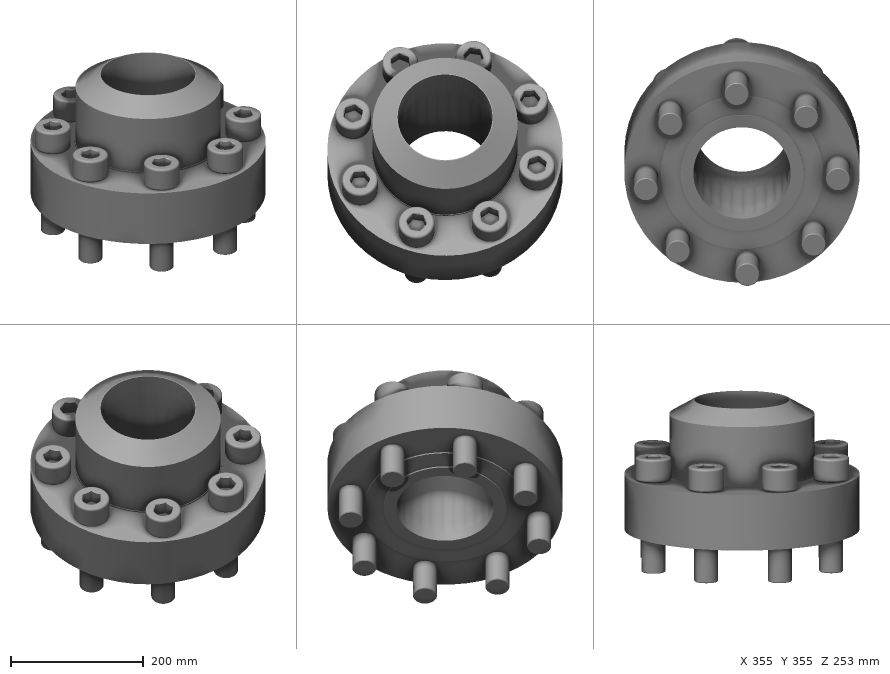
import cadquery as cq
import math

flange_diameter = 355.0
flange_thickness = 85.0

neck_diameter = 219.2
neck_top = 198.0
neck_tip_diameter = 145.5
weld_bevel_angle = 30.0
shoulder_diameter = 221.5
collar_diameter = 245.0
recess_depth = flange_thickness / 2
protrusion = 2.0
seal_diameter = 185.5
top_bore_diameter = 143.0
top_bore_depth = 55.5
bottom_bore_diameter = 147.0

bolt_count = 8
bolt_circle_diameter = 290.0
first_bolt_angle = 180 / bolt_count
shank_diameter = 36.0
shank_reach = 55.0
tip_chamfer = 1.0
clearance_hole_diameter = 37.0
head_diameter = 54.0
head_height = shank_diameter
head_fillet = 3.5
socket_corner_diameter = 31.2
socket_depth = 21.3
socket_chamfer_angle = 30.0


def bolt_position():
    """Centre of the first bolt; the others follow by rotation about Z."""
    angle = math.radians(first_bolt_angle)
    radius = bolt_circle_diameter / 2
    return radius * math.cos(angle), radius * math.sin(angle)


def make_flange():
    """Ring stepped to fit the shoulder and collar, with clearance holes for the bolts."""
    disc = cq.Workplane("XY").circle(flange_diameter / 2).extrude(flange_thickness)
    bore = cq.Workplane("XY").circle(shoulder_diameter / 2).extrude(flange_thickness)
    recess = cq.Workplane("XY").circle(collar_diameter / 2).extrude(recess_depth)
    bolt_holes = (
        cq.Workplane("XY")
        .polarArray(bolt_circle_diameter / 2, first_bolt_angle, 360, bolt_count)
        .circle(clearance_hole_diameter / 2)
        .extrude(flange_thickness)
    )
    return disc.cut(bore).cut(recess).cut(bolt_holes)


def make_weld_neck():
    """Half section in radius and height, revolved about Z."""
    neck_radius = neck_diameter / 2
    tip_radius = neck_tip_diameter / 2
    shoulder_radius = shoulder_diameter / 2
    collar_radius = collar_diameter / 2
    seal_radius = seal_diameter / 2
    top_bore_radius = top_bore_diameter / 2
    bottom_bore_radius = bottom_bore_diameter / 2

    bevel_height = (neck_radius - tip_radius) * math.tan(math.radians(weld_bevel_angle))
    bevel_base = neck_top - bevel_height
    shoulder_top = flange_thickness + protrusion
    collar_bottom = -protrusion
    seal_bottom = collar_bottom - protrusion
    taper_top = neck_top - top_bore_depth

    half_section = [
        (top_bore_radius, neck_top),
        (tip_radius, neck_top),
        (neck_radius, bevel_base),
        (neck_radius, shoulder_top),
        (shoulder_radius, shoulder_top),
        (shoulder_radius, recess_depth),
        (collar_radius, recess_depth),
        (collar_radius, collar_bottom),
        (seal_radius, collar_bottom),
        (seal_radius, seal_bottom),
        (bottom_bore_radius, seal_bottom),
        (top_bore_radius, taper_top),
    ]
    return cq.Workplane("XZ").polyline(half_section).close().revolve(360, (0, 0), (0, 1))


def make_socket(head_top):
    """Hexagon socket with a conical lead-in through its corners."""
    hexagon = (
        cq.Workplane("XY", origin=(0, 0, head_top))
        .polygon(6, socket_corner_diameter)
        .extrude(-socket_depth)
    )
    corner_radius = socket_corner_diameter / 2
    cone_depth = corner_radius * math.tan(math.radians(socket_chamfer_angle))
    lead_in = cq.Workplane("XY").add(
        cq.Solid.makeCone(corner_radius, 0, cone_depth, (0, 0, head_top), (0, 0, -1))
    )
    return hexagon.union(lead_in)


def make_bolt():
    """One bolt on the Z axis, its head resting on the flange."""
    shank = (
        cq.Workplane("XY", origin=(0, 0, -shank_reach))
        .circle(shank_diameter / 2)
        .extrude(shank_reach + flange_thickness)
        .faces("<Z")
        .chamfer(tip_chamfer)
    )
    head = (
        cq.Workplane("XY", origin=(0, 0, flange_thickness))
        .circle(head_diameter / 2)
        .extrude(head_height)
        .edges("%CIRCLE")
        .fillet(head_fillet)
    )
    socket = make_socket(flange_thickness + head_height)
    return shank.union(head).cut(socket)


flange = make_flange()
weld_neck = make_weld_neck()

first_bolt = make_bolt().translate((*bolt_position(), 0))
bolts = []
for index in range(bolt_count):
    turn = index * 360 / bolt_count
    bolts.append(first_bolt.rotate((0, 0, 0), (0, 0, 1), turn).val())

result = cq.Compound.makeCompound([flange.val(), weld_neck.val(), *bolts])